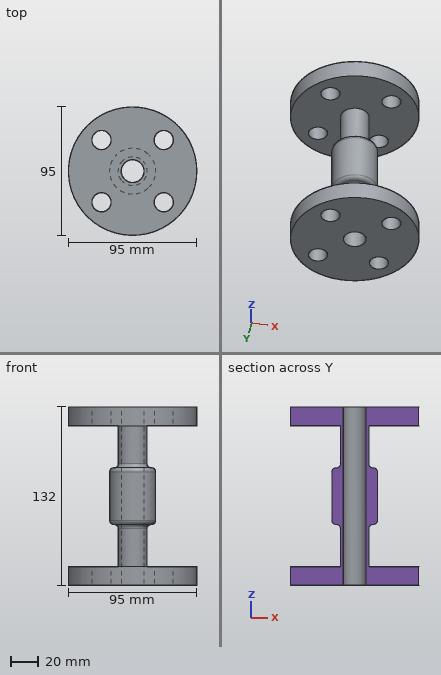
import cadquery as cq

overall_height = 132.0

flange_diameter = 95.0
flange_thickness = 14.0
bolt_circle_diameter = 65.0
bolt_hole_diameter = 14.0
bolt_hole_count = 4
first_bolt_angle = 45.0

pipe_diameter = 21.3
pipe_wall = 2.3
bore_diameter = pipe_diameter - 2 * pipe_wall

body_diameter = 34.0
body_height = 42.0
body_edge_radius = 3.0
neck_fillet_radius = 3.0

half_height = overall_height / 2
half_body = body_height / 2
flange_inner_face = half_height - flange_thickness


def make_outer_shape():
    """Flanges, pipe and rounded body as one revolved solid."""
    flange_r = flange_diameter / 2
    pipe_r = pipe_diameter / 2
    body_r = body_diameter / 2
    neck_end = half_body + neck_fillet_radius
    side_end = half_body - body_edge_radius
    shoulder_inner_r = pipe_r + neck_fillet_radius
    shoulder_outer_r = body_r - body_edge_radius

    profile = (
        cq.Workplane("XZ")
        .moveTo(0, -half_height)
        .lineTo(flange_r, -half_height)
        .lineTo(flange_r, -flange_inner_face)
        .lineTo(pipe_r, -flange_inner_face)
        .lineTo(pipe_r, -neck_end)
        .radiusArc((shoulder_inner_r, -half_body), neck_fillet_radius)
        .lineTo(shoulder_outer_r, -half_body)
        .radiusArc((body_r, -side_end), -body_edge_radius)
        .lineTo(body_r, side_end)
        .radiusArc((shoulder_outer_r, half_body), -body_edge_radius)
        .lineTo(shoulder_inner_r, half_body)
        .radiusArc((pipe_r, neck_end), neck_fillet_radius)
        .lineTo(pipe_r, flange_inner_face)
        .lineTo(flange_r, flange_inner_face)
        .lineTo(flange_r, half_height)
        .lineTo(0, half_height)
        .close()
    )
    return profile.revolve(360, (0, 0, 0), (0, 1, 0))


def make_bore():
    """Straight bore through the full height."""
    return (
        cq.Workplane("XY", origin=(0, 0, -half_height))
        .circle(bore_diameter / 2)
        .extrude(overall_height)
    )


def make_bolt_holes():
    """Bolt holes, in line through both flanges."""
    return (
        cq.Workplane("XY", origin=(0, 0, -half_height))
        .polarArray(bolt_circle_diameter / 2, first_bolt_angle, 360, bolt_hole_count)
        .circle(bolt_hole_diameter / 2)
        .extrude(overall_height)
    )


result = make_outer_shape().cut(make_bore()).cut(make_bolt_holes())